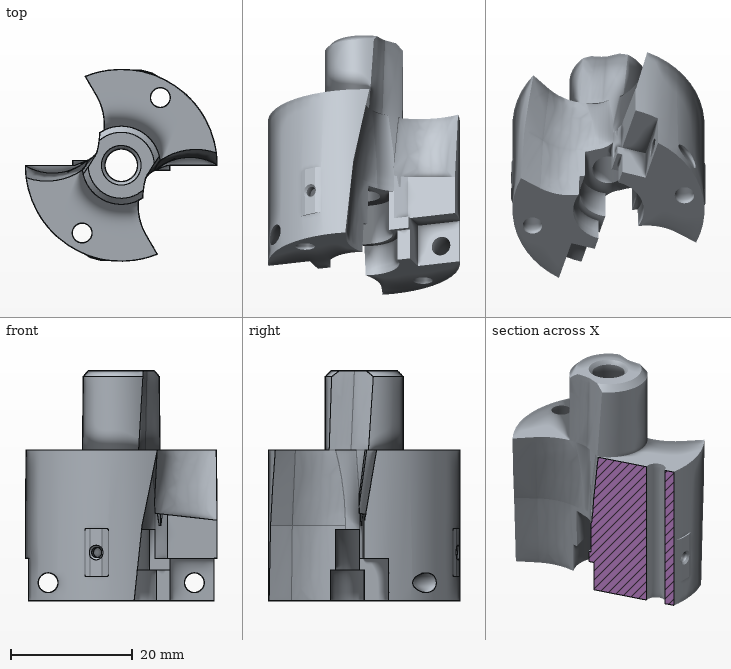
import cadquery as cq
import math

BODY_RADIUS = 15.75
BODY_HEIGHT = 24.8
SHANK_RADIUS = 6.42
TOTAL_HEIGHT = 37.81
SHANK_CHAMFER = 1.0

BORE_RADIUS = 2.65
BORE_CHAMFER = 0.6
SCREW_SEAT_RADIUS = 4.7
SCREW_SEAT_TOP = 11.7
PILOT_SEAT_RADIUS = 5.8
PILOT_SEAT_TOP = 5.06

PIN_HOLE_DIAMETER = 3.2
AXIAL_HOLE_RADIUS = 12.83
AXIAL_HOLE_ANGLE = 60
CROSS_HOLE_X = 12.0
CROSS_HOLE_Z = 3.0

FLUTE_OUTER = (6.75, -16.0)
FLUTE_BEND = (4.0, -11.3)
FLUTE_BELLY = (2.8, -6.9)
FLUTE_ROOT = (3.96, -2.17)
FLUTE_LIP = (6.39, 0.7)
FLUTE_LOWER_LIP = (5.2, -0.7)
FLUTE_FAR = (20.0, -3.0)
FLUTE_FAR_CORNER = (20.0, -16.0)
TWIST_CHANGE_Z = 12.4
LOWER_TWIST = 4.8
UPPER_TWIST = 9.6
SHANK_TWIST = 7.8

NOTCH_TOP = 7.0
NOTCH_DEPTH = 4.0
NOTCH_INNER_X = 8.0
TAB_PROUD = 0.82
RAMP_OUTER_X = 7.6
RAMP_INNER_X = 5.5
CLEARANCE_Y = -6.5
OUTSIDE_X = 20.0

RELIEF_DEEPEST = (3.6, -2.55)
RELIEF_END = (3.1, -5.6)

LEDGE_INNER_Z = 14.4
LEDGE_OUTER_Z = 13.25
SCOOP_START_Z = 13.0
SCOOP_LOW = [(5.3, -1.2), (11.4, 1.2), (15.8, 0.0)]
SCOOP_HIGH = [(5.9, 0.4), (11.8, 2.6), (15.7, 2.0)]

PAD_ANGLE = 255
PAD_BOTTOM = 4.0
PAD_HEIGHT = 7.9
PAD_WIDTH = 4.0
PAD_FLAT = 2.0
PAD_CREST = 15.94
PAD_BASE = 13.0
PAD_CORNER_RADIUS = 0.3
PAD_HOLE_RADIUS = 0.85
PAD_HOLE_MOUTH_RADIUS = 1.2
PAD_HOLE_DEPTH = 1.5


def both_sides(shape):
    """The shape together with its copy half a turn around Z."""
    return shape.union(shape.rotate((0, 0, 0), (0, 0, 1), 180))


def blank():
    body = cq.Workplane("XY").circle(BODY_RADIUS).extrude(BODY_HEIGHT)
    shank = (
        cq.Workplane("XY")
        .circle(SHANK_RADIUS)
        .extrude(TOTAL_HEIGHT)
        .faces(">Z")
        .chamfer(SHANK_CHAMFER)
    )
    return body.union(shank)


def flute_stage(bottom_z, top_z, start_angle, twist, lip):
    """One length of flute, turning by `twist` degrees; `lip` ends its leading wall."""
    section = (
        cq.Workplane("XY")
        .moveTo(*FLUTE_OUTER)
        .lineTo(*FLUTE_BEND)
        .threePointArc(FLUTE_BELLY, FLUTE_ROOT)
        .lineTo(*lip)
        .lineTo(*FLUTE_FAR)
        .lineTo(*FLUTE_FAR_CORNER)
        .close()
    )
    stage = section.twistExtrude(top_z - bottom_z, twist)
    return stage.rotate((0, 0, 0), (0, 0, 1), start_angle).translate((0, 0, bottom_z))


def flute():
    bottom_angle = -LOWER_TWIST - UPPER_TWIST
    lower = flute_stage(0, TWIST_CHANGE_Z, bottom_angle, LOWER_TWIST, FLUTE_LOWER_LIP)
    upper = flute_stage(TWIST_CHANGE_Z, BODY_HEIGHT, -UPPER_TWIST, UPPER_TWIST, FLUTE_LIP)
    shank = flute_stage(BODY_HEIGHT, TOTAL_HEIGHT, 0, SHANK_TWIST, FLUTE_LIP)
    return lower.union(upper).union(shank)


def box_between(x_range, y_range, z_range):
    return cq.Workplane("XY").box(
        x_range[1] - x_range[0],
        y_range[1] - y_range[0],
        z_range[1] - z_range[0],
        centered=False,
    ).translate((x_range[0], y_range[0], z_range[0]))


def cutting_face():
    """Space in front of the flat leading face, with the ramp down to the flute root."""
    ramp = [
        (OUTSIDE_X, 0),
        (RAMP_OUTER_X, 0),
        (RAMP_INNER_X, -TAB_PROUD),
        (RAMP_INNER_X, CLEARANCE_Y),
        (OUTSIDE_X, CLEARANCE_Y),
    ]
    face = (
        cq.Workplane("XY")
        .workplane(offset=NOTCH_TOP)
        .polyline(ramp)
        .close()
        .extrude(LEDGE_INNER_Z - NOTCH_TOP)
    )
    below_tab = box_between((RAMP_INNER_X, NOTCH_INNER_X), (CLEARANCE_Y, 0), (0, PILOT_SEAT_TOP))
    beside_tab = box_between(
        (RAMP_INNER_X, NOTCH_INNER_X), (CLEARANCE_Y, -TAB_PROUD), (PILOT_SEAT_TOP, NOTCH_TOP)
    )
    notch = box_between((NOTCH_INNER_X, OUTSIDE_X), (CLEARANCE_Y, NOTCH_DEPTH), (0, NOTCH_TOP))
    return face.union(below_tab).union(beside_tab).union(notch)


def root_relief():
    """Upright concave wall along the flute root, plus the window into the screw seat."""
    column = (
        cq.Workplane("XY")
        .moveTo(RAMP_INNER_X, -TAB_PROUD)
        .threePointArc(RELIEF_DEEPEST, RELIEF_END)
        .lineTo(RAMP_INNER_X, RELIEF_END[1])
        .close()
        .extrude(BODY_HEIGHT)
    )
    window = box_between(
        (0, RAMP_INNER_X), (-SCREW_SEAT_RADIUS, -TAB_PROUD), (0, SCREW_SEAT_TOP)
    )
    return column.union(window)


def scoop_section(plane, arc):
    start, middle, end = arc
    return (
        plane.moveTo(*start)
        .threePointArc(middle, end)
        .lineTo(OUTSIDE_X, end[1])
        .lineTo(OUTSIDE_X, CLEARANCE_Y)
        .lineTo(start[0], CLEARANCE_Y)
        .close()
    )


def scoop():
    low = scoop_section(cq.Workplane("XY").workplane(offset=SCOOP_START_Z), SCOOP_LOW)
    rise = BODY_HEIGHT - SCOOP_START_Z
    solid = scoop_section(low.workplane(offset=rise), SCOOP_HIGH).loft(ruled=True)
    slope = (LEDGE_OUTER_Z - LEDGE_INNER_Z) / (BODY_RADIUS - RAMP_INNER_X)
    above_ledge = (
        cq.Workplane("XZ")
        .moveTo(0, LEDGE_INNER_Z - slope * RAMP_INNER_X)
        .lineTo(OUTSIDE_X, LEDGE_INNER_Z + slope * (OUTSIDE_X - RAMP_INNER_X))
        .lineTo(OUTSIDE_X, BODY_HEIGHT)
        .lineTo(0, BODY_HEIGHT)
        .close()
        .extrude(OUTSIDE_X, both=True)
    )
    return solid.intersect(above_ledge)


def guide_pad():
    """Pad with a flat crest and two sloping flanks, modelled along +X and then turned."""
    edge = math.sqrt(BODY_RADIUS**2 - (PAD_WIDTH / 2) ** 2)
    section = [
        (PAD_BASE, -PAD_WIDTH / 2),
        (edge, -PAD_WIDTH / 2),
        (PAD_CREST, -PAD_FLAT / 2),
        (PAD_CREST, PAD_FLAT / 2),
        (edge, PAD_WIDTH / 2),
        (PAD_BASE, PAD_WIDTH / 2),
    ]
    pad = (
        cq.Workplane("XY")
        .workplane(offset=PAD_BOTTOM)
        .polyline(section)
        .close()
        .extrude(PAD_HEIGHT)
    )
    outline = (
        cq.Workplane("YZ")
        .center(0, PAD_BOTTOM + PAD_HEIGHT / 2)
        .rect(PAD_WIDTH, PAD_HEIGHT)
        .extrude(OUTSIDE_X)
        .edges("|X")
        .fillet(PAD_CORNER_RADIUS)
    )
    return pad.intersect(outline).rotate((0, 0, 0), (0, 0, 1), PAD_ANGLE)


def pad_hole():
    """Blind hole in the crest of the pad, with a 45 degree countersink."""
    sink = PAD_HOLE_MOUTH_RADIUS - PAD_HOLE_RADIUS
    hole = (
        cq.Workplane("XZ")
        .polyline([
            (0, 0),
            (PAD_HOLE_MOUTH_RADIUS, 0),
            (PAD_HOLE_RADIUS, -sink),
            (PAD_HOLE_RADIUS, -PAD_HOLE_DEPTH),
            (0, -PAD_HOLE_DEPTH),
        ])
        .close()
        .revolve()
    )
    middle_z = PAD_BOTTOM + PAD_HEIGHT / 2
    laid_along_x = hole.rotate((0, 0, 0), (0, 1, 0), 90).translate((PAD_CREST, 0, middle_z))
    return laid_along_x.rotate((0, 0, 0), (0, 0, 1), PAD_ANGLE)


def center_bore():
    bore = cq.Workplane("XY").circle(BORE_RADIUS).extrude(TOTAL_HEIGHT)
    screw_seat = cq.Workplane("XY").circle(SCREW_SEAT_RADIUS).extrude(SCREW_SEAT_TOP)
    pilot_seat = cq.Workplane("XY").circle(PILOT_SEAT_RADIUS).extrude(PILOT_SEAT_TOP)
    mouth = (
        cq.Workplane("XY")
        .workplane(offset=TOTAL_HEIGHT - BORE_CHAMFER)
        .circle(BORE_RADIUS)
        .workplane(offset=BORE_CHAMFER)
        .circle(BORE_RADIUS + BORE_CHAMFER)
        .loft()
    )
    return bore.union(screw_seat).union(pilot_seat).union(mouth)


def pin_holes():
    """One axial hole and one cross hole through the wing on the +Y side."""
    angle = math.radians(AXIAL_HOLE_ANGLE)
    axial = (
        cq.Workplane("XY")
        .center(AXIAL_HOLE_RADIUS * math.cos(angle), AXIAL_HOLE_RADIUS * math.sin(angle))
        .circle(PIN_HOLE_DIAMETER / 2)
        .extrude(BODY_HEIGHT)
    )
    cross = (
        cq.Workplane("XZ")
        .center(CROSS_HOLE_X, CROSS_HOLE_Z)
        .circle(PIN_HOLE_DIAMETER / 2)
        .extrude(-BODY_RADIUS)
    )
    return axial.union(cross)


result = (
    blank()
    .cut(both_sides(flute()))
    .cut(both_sides(cutting_face()))
    .cut(both_sides(root_relief()))
    .cut(both_sides(scoop()))
    .union(both_sides(guide_pad()))
    .cut(both_sides(pad_hole()))
    .cut(center_bore())
    .cut(both_sides(pin_holes()))
)